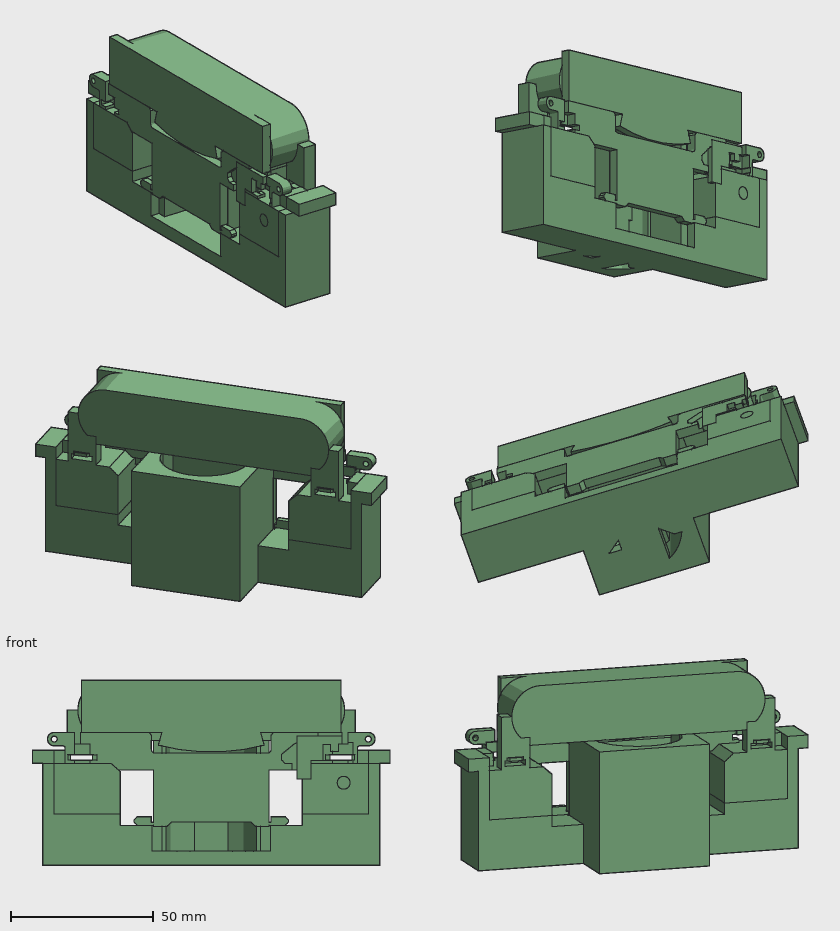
import cadquery as cq

base_half = 59.0
base_height = 35.7
base_depth = 19.3
front_depth = 3.4

flange_half = 62.6
flange_top = 40.3
window_half = 31.8
window_floor = 14.0
insert_half = 55.0
insert_floor = 18.0
box_half = 20.3
box_back = 37.2
box_top = 43.7
pocket_half = 20.6
pocket_floor = 5.0
channel_half = 17.3
bore_radius = 15.8
bore_axis_y = 17.5
rib_half = 7.4
rib_foot_half = 5.9
rib_foot_top = 15.1
rib_top = 33.3
vent_outer_x = 12.0
vent_step_y = 23.0

slope_x = 35.0
slope_bottom = 32.8
shelf_inner = 51.2
shelf_back = 12.5
plate_outer = 50.4
plate_inner = 40.0
plate_front = 14.3
plate_top = 54.5
slot_outer = 49.2
slot_inner = 41.5
slot_bottom = 36.8
slot_top = 38.7
nub_inner = 42.4
nub_outer = 48.4
nub_length = 0.9
nub_height = 1.1
nub_chamfer = 0.8

stem_half = 20.1
stem_bottom = 13.6
stem_arch_half = 13.9
stem_arch_foot = 15.5
stem_arch_top = 15.1
arm_bottom = 33.3
arm_half = 45.8
arm_top = 46.5
arm_undercut_x = 42.4
arm_undercut_z = 42.4
notch_half = 20.9
notch_floor = 39.3
notch_radius = 1.3
notch_flare = 1.0
hook_outer = 27.0
hook_inner = 20.9
hook_top = 17.0
hook_neck_top = 15.1
hook_depth = 2.3
hook_chamfer = 1.1
ear_depth = 4.0
ear_axis_x = 55.0
ear_axis_z = 44.2
ear_hole_radius = 1.0
ear_inner = 47.8
ear_fillet = 0.8
relief_outer = 50.2
relief_inner = 40.0
right_relief_outer = 49.5
right_relief_top = 43.0
link_inner = 41.2
link_back = 4.9
link_bottom = 38.8

lever_depth = 1.9
lever_left = 29.9
lever_leg_right = 34.9
lever_bottom = 30.2
lever_top = 45.3
lever_foot = 36.7
lever_step_x = 39.0
lever_tooth_left = 41.8
lever_tooth_right = 44.5
lever_tooth_bottom = 39.9
lever_inner_top = 42.3
slit_left = 37.3
recess_throat_x = 28.2
recess_ledge_z = 35.7
recess_corner_x = 25.8
recess_tip_x = 24.5
recess_tip_low_z = 37.0
recess_tip_high_z = 38.8
recess_shoulder_x = 28.8
recess_shoulder_z = 42.3
recess_head_z = 42.9
pin_radius = 2.3
pin_x = 46.3
pin_z = 28.9

cover_half = 45.4
cover_top = 64.8
bar_straight_half = 36.2
bar_radius = 10.5
keel_half = 40.0
tongue_root_half = 17.3
tongue_tip_half = 18.5
tongue_tip_z = 42.0
tongue_bottom = 39.7


def block(x0, x1, y0, y1, z0, z1):
    return cq.Workplane("XY").box(x1 - x0, y1 - y0, z1 - z0, centered=False).translate((x0, y0, z0))


def plate(points, depth, start=0.0):
    """Extrude an XZ outline backwards along Y from the plane Y = start."""
    return cq.Workplane("XZ", origin=(0, start, 0)).polyline(points).close().extrude(-depth)


def rod(x, z, radius, depth, start=0.0):
    return cq.Workplane("XZ", origin=(x, start, z)).circle(radius).extrude(-depth)


def both_sides(half_shape):
    return half_shape.union(half_shape.mirror("YZ"))


def make_lever():
    outline = [
        (lever_left, lever_bottom),
        (lever_leg_right, lever_bottom),
        (lever_leg_right, lever_foot),
        (lever_step_x, lever_foot),
        (lever_step_x, lever_inner_top),
        (lever_tooth_left, lever_inner_top),
        (lever_tooth_left, lever_tooth_bottom),
        (lever_tooth_right, lever_tooth_bottom),
        (lever_tooth_right, arm_undercut_z),
        (arm_half, arm_undercut_z),
        (arm_half, lever_top),
        (lever_left, lever_top),
    ]
    return plate(outline, lever_depth)


def make_pin():
    return rod(pin_x, pin_z, pin_radius, front_depth)


def make_bar():
    length = base_depth - front_depth
    axis_z = cover_top - bar_radius
    bar = block(-bar_straight_half, bar_straight_half, front_depth, base_depth, arm_top, cover_top)
    for x in (-bar_straight_half, bar_straight_half):
        bar = bar.union(rod(x, axis_z, bar_radius, length, front_depth))
    lower_trim = block(-base_half, base_half, front_depth, base_depth, 0, arm_top)
    keel = block(-keel_half, keel_half, front_depth, base_depth, box_top, arm_top)
    return bar.cut(lower_trim).union(keel)


def make_cover():
    tongue = (
        cq.Workplane("XZ")
        .moveTo(-tongue_root_half, arm_top)
        .lineTo(-tongue_tip_half, tongue_tip_z)
        .threePointArc((0, tongue_bottom), (tongue_tip_half, tongue_tip_z))
        .lineTo(tongue_root_half, arm_top)
        .close()
        .extrude(-front_depth)
    )
    front = block(-cover_half, cover_half, 0, front_depth, arm_top, cover_top)
    return front.union(tongue).union(make_bar())


def make_left_insert(bar):
    body = plate(
        [
            (-insert_half, insert_floor),
            (-window_half, insert_floor),
            (-window_half, slope_bottom),
            (-slope_x, base_height),
            (-insert_half, base_height),
        ],
        base_depth,
    )
    shelf = block(-insert_half, -shelf_inner, front_depth, shelf_back, base_height, flange_top)
    rear_plate = block(-plate_outer, -plate_inner, plate_front, base_depth, base_height, plate_top)
    slot = block(-slot_outer, -slot_inner, plate_front, base_depth, slot_bottom, slot_top)
    nub = block(-nub_outer, -nub_inner, base_depth, base_depth + nub_length, slot_top, slot_top + nub_height)
    nub = nub.edges(">Y and |Z").chamfer(nub_chamfer)
    return body.union(shelf).union(rear_plate.cut(slot).cut(bar)).union(nub)


def make_left_ear():
    radius = arm_top - ear_axis_z
    head = block(-ear_axis_x, -ear_inner, 0, ear_depth, ear_axis_z - radius, arm_top)
    head = head.union(rod(-ear_axis_x, ear_axis_z, radius, ear_depth))
    stem = block(-shelf_inner, -ear_inner, 0, ear_depth, base_height, arm_top)
    ear = head.union(stem)
    corner = cq.selectors.NearestToPointSelector((-shelf_inner, ear_depth / 2, ear_axis_z - radius))
    ear = ear.edges("|Y").edges(corner).fillet(ear_fillet)
    ear = ear.cut(rod(-ear_axis_x, ear_axis_z, ear_hole_radius, ear_depth))
    return ear.cut(block(-relief_outer, -ear_inner, 0, ear_depth, slot_bottom, slot_top))


def make_left_link():
    """Strip behind the front plate that carries the ear across the gap beside the arm."""
    return block(-shelf_inner, -link_inner, front_depth, link_back, link_bottom, arm_undercut_z)


def make_left_hook():
    head = block(-hook_outer, -hook_inner, 0, hook_depth, window_floor, hook_top)
    head = head.edges("|Y and <X").chamfer(hook_chamfer)
    neck = block(-hook_inner, -stem_half, 0, hook_depth, window_floor, hook_neck_top)
    return head.union(neck)


def make_lever_recess():
    """Shallow pocket in the right arm where the lever can swing."""
    pocket = plate(
        [
            (recess_throat_x, arm_bottom),
            (recess_throat_x, recess_ledge_z),
            (recess_corner_x, recess_ledge_z),
            (recess_tip_x, recess_tip_low_z),
            (recess_tip_x, recess_tip_high_z),
            (recess_shoulder_x, recess_shoulder_z),
            (lever_left, recess_head_z),
            (lever_left, arm_bottom),
        ],
        lever_depth,
    )
    slit = block(slit_left, arm_half, 0, lever_depth, lever_top, arm_top)
    toe_gap = block(lever_step_x, arm_undercut_x, 0, lever_depth, lever_foot, lever_inner_top)
    return pocket.union(slit).union(toe_gap)


def make_bridge(lever):
    slope_run = (slope_x - window_half) / (base_height - slope_bottom)
    arm_corner_x = window_half + (arm_bottom - slope_bottom) * slope_run
    right_half = [
        (0, stem_arch_top),
        (stem_arch_half, stem_arch_top),
        (stem_arch_foot, stem_bottom),
        (stem_half, stem_bottom),
        (stem_half, arm_bottom),
        (arm_corner_x, arm_bottom),
        (slope_x, base_height),
        (arm_undercut_x, base_height),
        (arm_undercut_x, slot_bottom),
        (relief_inner, slot_bottom),
        (relief_inner, slot_top),
        (arm_undercut_x, slot_top),
        (arm_undercut_x, arm_undercut_z),
        (arm_half, arm_undercut_z),
        (arm_half, arm_top),
        (0, arm_top),
    ]
    notch = block(-notch_half, notch_half, 0, front_depth, notch_floor, arm_top)
    notch = notch.edges("|Y and <Z").fillet(notch_radius)
    flare = plate(
        [
            (-notch_half, arm_top - notch_flare),
            (notch_half, arm_top - notch_flare),
            (notch_half + notch_flare, arm_top),
            (-notch_half - notch_flare, arm_top),
        ],
        front_depth,
    )
    tee = both_sides(plate(right_half, front_depth)).cut(notch).cut(flare)
    ears_and_hooks = both_sides(make_left_ear().union(make_left_link())).union(both_sides(make_left_hook()))
    bridge = tee.union(ears_and_hooks)
    right_ear_relief = block(ear_inner, right_relief_outer, 0, front_depth, base_height, right_relief_top)
    return bridge.cut(right_ear_relief).cut(make_lever_recess()).cut(lever)


def make_vents():
    """Openings through the bore floor on either side of the rib."""
    right = (
        cq.Workplane("XY")
        .polyline(
            [
                (rib_half, base_depth),
                (vent_outer_x, vent_step_y),
                (bore_radius, vent_step_y),
                (bore_radius, bore_axis_y + bore_radius),
                (rib_half, bore_axis_y + bore_radius),
            ]
        )
        .close()
        .extrude(pocket_floor)
    )
    left = (
        cq.Workplane("XY")
        .polyline([(-rib_half, base_depth), (-vent_outer_x, vent_step_y), (-rib_half, vent_step_y)])
        .close()
        .extrude(pocket_floor)
    )
    bore_bottom = cq.Workplane("XY").center(0, bore_axis_y).circle(bore_radius).extrude(pocket_floor)
    return right.union(left).intersect(bore_bottom)


def make_base():
    body = block(-base_half, base_half, 0, base_depth, 0, base_height)
    for side in (-1, 1):
        flange_x = sorted((side * flange_half, side * insert_half))
        body = body.union(block(*flange_x, front_depth, base_depth, base_height, flange_top))
    body = body.cut(block(-window_half, window_half, 0, base_depth, window_floor, base_height))
    body = body.cut(block(-insert_half, insert_half, 0, base_depth, insert_floor, base_height))
    body = body.union(block(-box_half, box_half, front_depth, box_back, 0, box_top))

    bore_height = box_top - pocket_floor
    bore = cq.Workplane("XY", origin=(0, bore_axis_y, pocket_floor)).circle(bore_radius).extrude(bore_height)
    body = body.cut(block(-pocket_half, pocket_half, 0, front_depth, pocket_floor, box_top))
    body = body.cut(block(-channel_half, channel_half, front_depth, bore_axis_y, pocket_floor, box_top))
    body = body.cut(bore)

    rib_back = bore_axis_y + bore_radius
    rib_foot = block(-rib_foot_half, rib_foot_half, bore_axis_y, rib_back, pocket_floor, rib_foot_top)
    rib = block(-rib_half, rib_half, bore_axis_y, rib_back, rib_foot_top, rib_top)
    return body.union(rib_foot).union(rib).cut(make_vents())


lever = make_lever()
pin = make_pin()
cover = make_cover()
left_insert = make_left_insert(make_bar())
right_insert = left_insert.mirror("YZ").cut(lever).cut(pin)
bridge = make_bridge(lever)
base = make_base()

bodies = [base, left_insert, right_insert, bridge, cover, lever, pin]
result = cq.Compound.makeCompound([body.solids().val() for body in bodies])